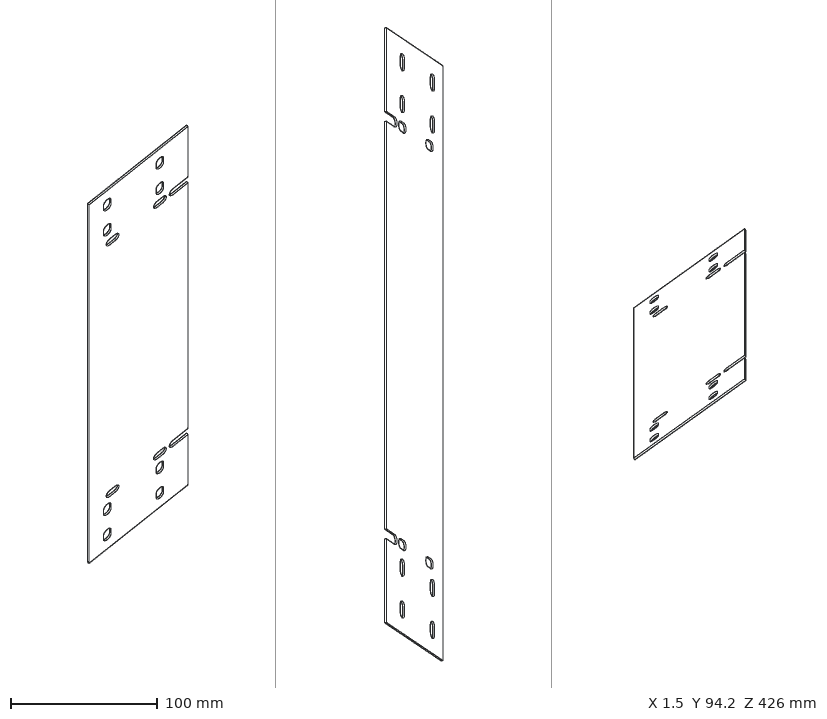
import cadquery as cq

THICKNESS = 1.5
WIDTH = 94.21
HEIGHT = 426.0
NOTCHED_EDGE_Y = WIDTH / 2

SLOT_LENGTH = 12.0
SLOT_WIDTH = 7.0
FIRST_COLUMN_INSET = 26.71

UPRIGHT_COLUMN_PITCH = 50.0
END_ROW_INSET = 17.0
UPRIGHT_ROW_PITCH = 30.0

LYING_COLUMN_PITCH = 45.0
LYING_ROW_Z = 149.5

NOTCH_DEPTH = 17.71

ALONG_Y = 0
ALONG_Z = 90


def obround_cutter(y, z, length, direction):
    """Through cutter with rounded ends, centred at (y, z)."""
    return (
        cq.Workplane("YZ")
        .center(y, z)
        .slot2D(length, SLOT_WIDTH, direction)
        .extrude(THICKNESS, both=True)
    )


def column_positions(pitch):
    """Y of the two slot columns, starting from the one nearest the notched edge."""
    first_column = NOTCHED_EDGE_Y - FIRST_COLUMN_INSET
    return (first_column, first_column - pitch)


def cut_upright_slots(plate, end):
    end_row = HEIGHT / 2 - END_ROW_INSET
    for z in (end_row, end_row - UPRIGHT_ROW_PITCH):
        for y in column_positions(UPRIGHT_COLUMN_PITCH):
            plate = plate.cut(obround_cutter(y, end * z, SLOT_LENGTH, ALONG_Z))
    return plate


def cut_lying_slots(plate, end):
    for y in column_positions(LYING_COLUMN_PITCH):
        plate = plate.cut(obround_cutter(y, end * LYING_ROW_Z, SLOT_LENGTH, ALONG_Y))
    return plate


def cut_notch(plate, end):
    return plate.cut(obround_cutter(NOTCHED_EDGE_Y, end * LYING_ROW_Z, 2 * NOTCH_DEPTH, ALONG_Y))


result = cq.Workplane("XY").box(THICKNESS, WIDTH, HEIGHT)
for plate_end in (1, -1):
    result = cut_upright_slots(result, plate_end)
    result = cut_lying_slots(result, plate_end)
    result = cut_notch(result, plate_end)